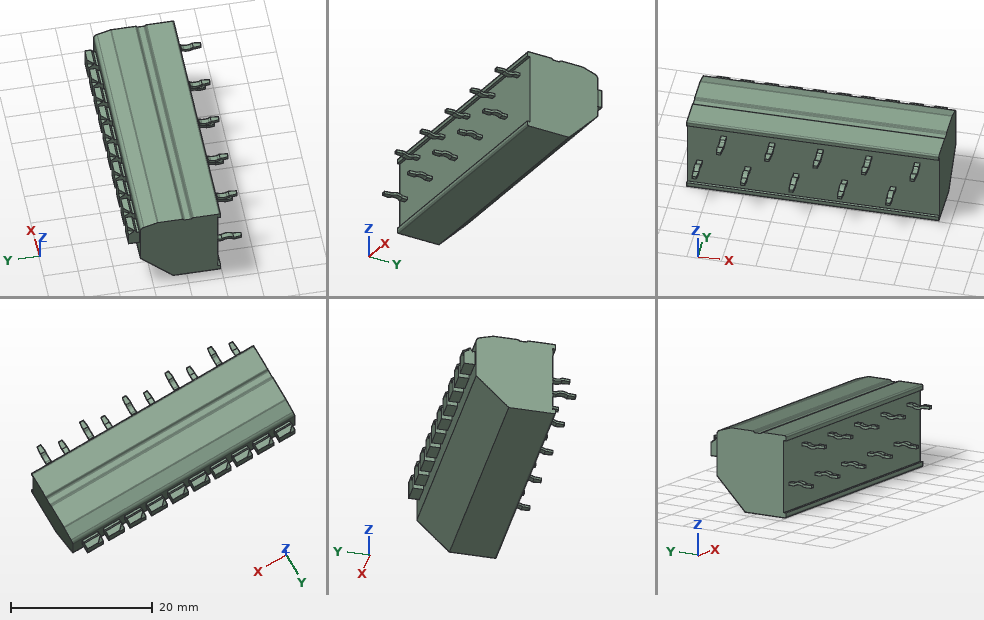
import cadquery as cq

LENGTH = 36.5
BODY_DEPTH = 11.57
BODY_HEIGHT = 12.0
FOOT_DEPTH = 0.4
FOOT_HEIGHT = 0.75
FOOT_ROUND = 0.22
BOTTOM_BEVEL = 4.75
ROOF_SLOPE_START = 9.1
ROOF_SLOPE_DROP = 0.75
ROOF_ROUND = 0.35
REAR_ROUND = 0.73

GROOVE_FRONT = 4.0
GROOVE_REAR = 5.48
GROOVE_DEPTH = 0.22
GROOVE_FLANK = 0.22
GROOVE_ROUND = 0.2

POLES = 10
PITCH = 3.5

FIRST_PIN_X = 1.8
PIN_REACH = 3.3
PIN_WIDTH = 0.8
PIN_TIP_WIDTH = 0.6
PIN_THICKNESS = 0.4
PIN_TAPER_LENGTH = 0.85
LOWER_PIN_Z = 4.67
UPPER_PIN_Z = 9.7
KINK_Y = -1.28
KINK_HALF_LENGTH = 0.85
KINK_HEIGHT = 0.25
KINK_FLANK_LENGTH = 0.33
KINK_FLANK_HEIGHT = 0.2

BUTTON_WIDTH = 2.6
FIRST_BUTTON_X = 2.15
BUTTON_REACH = 1.55
BUTTON_BOTTOM = 7.25
BUTTON_TOP = 10.0
BUTTON_LIP = 0.9
BUTTON_STEP_DROP = 0.5
BUTTON_STEP_RUN = 0.3

NOTCH_LENGTH = 0.73
NOTCH_INNER_WIDTH = 0.1
NOTCH_OUTER_WIDTH = 0.85
NOTCH_INNER_DEPTH = 0.25
NOTCH_OUTER_DEPTH = 0.8


def extrude_along_x(outline, start, length):
    """Extrude a closed outline drawn in the YZ plane from X = start."""
    return outline.close().extrude(length).translate((start, 0, 0))


def make_housing():
    outline = (
        cq.Workplane("YZ")
        .moveTo(0, 0)
        .lineTo(BODY_DEPTH - BOTTOM_BEVEL, 0)
        .lineTo(BODY_DEPTH, BOTTOM_BEVEL)
        .lineTo(BODY_DEPTH, BODY_HEIGHT - ROOF_SLOPE_DROP)
        .lineTo(ROOF_SLOPE_START, BODY_HEIGHT)
        .lineTo(GROOVE_REAR, BODY_HEIGHT)
        .lineTo(GROOVE_REAR - GROOVE_FLANK, BODY_HEIGHT - GROOVE_DEPTH)
        .lineTo(GROOVE_FRONT + GROOVE_FLANK, BODY_HEIGHT - GROOVE_DEPTH)
        .lineTo(GROOVE_FRONT, BODY_HEIGHT)
        .lineTo(0, BODY_HEIGHT)
        .lineTo(0, BODY_HEIGHT - FOOT_HEIGHT)
        .lineTo(FOOT_DEPTH, BODY_HEIGHT - FOOT_HEIGHT)
        .lineTo(FOOT_DEPTH, FOOT_HEIGHT)
        .lineTo(0, FOOT_HEIGHT)
    )
    housing = extrude_along_x(outline, 0, LENGTH)
    groove_floor = BODY_HEIGHT - GROOVE_DEPTH
    rounded_edges = [
        (0, 0, FOOT_ROUND),
        (0, BODY_HEIGHT, FOOT_ROUND),
        (GROOVE_FRONT, BODY_HEIGHT, GROOVE_ROUND),
        (GROOVE_FRONT + GROOVE_FLANK, groove_floor, GROOVE_ROUND),
        (GROOVE_REAR - GROOVE_FLANK, groove_floor, GROOVE_ROUND),
        (GROOVE_REAR, BODY_HEIGHT, GROOVE_ROUND),
        (ROOF_SLOPE_START, BODY_HEIGHT, ROOF_ROUND),
        (BODY_DEPTH, BODY_HEIGHT - ROOF_SLOPE_DROP, REAR_ROUND),
    ]
    for y, z, radius in rounded_edges:
        edge = cq.selectors.NearestToPointSelector((LENGTH / 2, y, z))
        housing = housing.edges(edge).fillet(radius)
    return housing


def make_pin(x, z, kink_direction):
    """Pin centred on (x, z) whose kink bulges up (+1) or down (-1)."""
    outer = kink_direction * PIN_THICKNESS / 2
    inner = -outer
    flank_end = KINK_HALF_LENGTH - KINK_FLANK_LENGTH
    flank_z = inner + kink_direction * KINK_FLANK_HEIGHT
    profile = (
        cq.Workplane("YZ")
        .moveTo(FOOT_DEPTH, outer)
        .lineTo(KINK_Y + KINK_HALF_LENGTH, outer)
        .threePointArc(
            (KINK_Y, outer + kink_direction * KINK_HEIGHT),
            (KINK_Y - KINK_HALF_LENGTH, outer),
        )
        .lineTo(-PIN_REACH, outer)
        .lineTo(-PIN_REACH, inner)
        .lineTo(KINK_Y - KINK_HALF_LENGTH, inner)
        .lineTo(KINK_Y - flank_end, flank_z)
        .threePointArc(
            (KINK_Y, inner + kink_direction * KINK_HEIGHT),
            (KINK_Y + flank_end, flank_z),
        )
        .lineTo(KINK_Y + KINK_HALF_LENGTH, inner)
        .lineTo(FOOT_DEPTH, inner)
    )
    strip = extrude_along_x(profile, -PIN_WIDTH / 2, PIN_WIDTH)

    taper_start = PIN_TAPER_LENGTH - PIN_REACH
    plan = (
        cq.Workplane("XY")
        .moveTo(-PIN_WIDTH / 2, FOOT_DEPTH)
        .lineTo(-PIN_WIDTH / 2, taper_start)
        .lineTo(-PIN_TIP_WIDTH / 2, -PIN_REACH)
        .lineTo(PIN_TIP_WIDTH / 2, -PIN_REACH)
        .lineTo(PIN_WIDTH / 2, taper_start)
        .lineTo(PIN_WIDTH / 2, FOOT_DEPTH)
        .close()
        .extrude(PIN_THICKNESS + KINK_HEIGHT, both=True)
    )
    return strip.intersect(plan).translate((x, 0, z))


def make_button(x):
    """Stepped button centred on x, with a sloped notch in its left outer top corner."""
    left = x - BUTTON_WIDTH / 2
    back = BODY_DEPTH + BUTTON_REACH
    lip_end = back - BUTTON_LIP
    step_z = BUTTON_TOP - BUTTON_STEP_DROP
    profile = (
        cq.Workplane("YZ")
        .moveTo(BODY_DEPTH, BUTTON_BOTTOM)
        .lineTo(back, BUTTON_BOTTOM)
        .lineTo(back, BUTTON_TOP)
        .lineTo(lip_end, BUTTON_TOP)
        .lineTo(lip_end - BUTTON_STEP_RUN, step_z)
        .lineTo(BODY_DEPTH, step_z)
    )
    button = extrude_along_x(profile, left, BUTTON_WIDTH)

    notch_start = back - NOTCH_LENGTH
    notch_profile = (
        cq.Workplane("YZ")
        .moveTo(notch_start, BUTTON_TOP)
        .lineTo(notch_start, BUTTON_TOP - NOTCH_INNER_DEPTH)
        .lineTo(back, BUTTON_TOP - NOTCH_OUTER_DEPTH)
        .lineTo(back, BUTTON_TOP)
    )
    notch_plan = (
        cq.Workplane("XY")
        .moveTo(left, notch_start)
        .lineTo(left + NOTCH_INNER_WIDTH, notch_start)
        .lineTo(left + NOTCH_OUTER_WIDTH, back)
        .lineTo(left, back)
        .close()
        .extrude(BUTTON_TOP)
    )
    notch = extrude_along_x(notch_profile, left, NOTCH_OUTER_WIDTH).intersect(notch_plan)
    return button.cut(notch)


result = make_housing()
for pole in range(POLES):
    pin_x = FIRST_PIN_X + pole * PITCH
    if pole % 2 == 0:
        pin = make_pin(pin_x, LOWER_PIN_Z, 1)
    else:
        pin = make_pin(pin_x, UPPER_PIN_Z, -1)
    result = result.union(pin).union(make_button(FIRST_BUTTON_X + pole * PITCH))